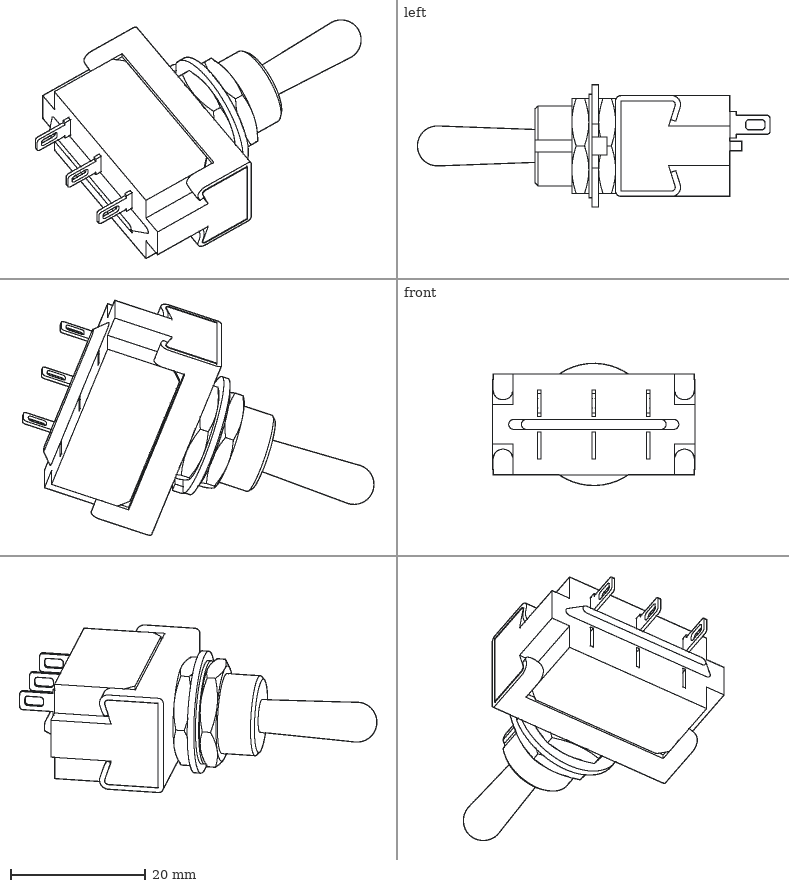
import cadquery as cq
import math


base_width = 30.2
base_height = 15.0
base_rear_y = -17.0
block_width = 24.05
block_front_y = -5.1
block_chamfer = 1.4
flange_half_height = 2.95

frame_width = 30.0
sheet = 0.8
window_front_y = -4.8
leg_width = (frame_width - block_width) / 2
leg_center_x = (frame_width + block_width) / 4
bend_outer_radius = 1.35
bend_inner_radius = bend_outer_radius - sheet
bend_start_y = -8.3
claw_lean = 17.5
full_turn = 90 + claw_lean
claw_length = 2.15

bushing_radius = 6.0
bushing_length = 12.0
bushing_chamfer = 0.5
keyway_width = 1.8
keyway_depth = 0.65

tip_y = 29.5
lever_tip_radius = 3.0
lever_root_radius = 2.45

nut_across_flats = 14.2
nut_thickness = 2.5
nut_chamfer_angle = 30.0
tab_washer_radius = 18.2 / 2
tab_washer_thickness = 1.0
tab_washer_flat_x = -8.5
tab_width = 2.75
tab_outer_x = -9.65
tab_length = 2.25
tab_bend_radius = 0.9
plain_washer_radius = 7.7
plain_washer_thickness = 0.45
tab_washer_y = nut_thickness
plain_washer_y = tab_washer_y + tab_washer_thickness
upper_nut_y = plain_washer_y + plain_washer_thickness

rib_root_length = 25.3
rib_crest_length = 21.5
rib_height = 1.8
rib_thickness = 1.45

terminal_pitch = 8.1
terminal_thickness = 0.5
terminal_z = 3.15
terminal_rear_y = -23.0
shoulder_width = 4.0
shoulder_length = 0.95
tongue_width = 2.9
tongue_corner_radius = 0.5
eyelet_length = 2.85
eyelet_width = 1.45
eyelet_corner_radius = 0.45
eyelet_y = -20.8
slot_depth = 2.0

terminal_xs = [-terminal_pitch, 0, terminal_pitch]


def box_between(x_range, y_range, z_range):
    """Box spanning the given (low, high) ranges."""
    sizes = [high - low for low, high in (x_range, y_range, z_range)]
    corner = (x_range[0], y_range[0], z_range[0])
    return cq.Workplane("XY").box(*sizes, centered=False).translate(corner)


def disc(radius, start_y, thickness):
    """Round plate around the Y axis, growing towards +Y."""
    return cq.Workplane("XZ", origin=(0, start_y, 0)).circle(radius).extrude(-thickness)


def prism_along_x(outline, width):
    """Extrude a YZ wire sketch symmetrically along X."""
    return outline.extrude(width / 2, both=True)


def bend_point(radius, turn):
    """(y, z) on the upper leg's bend, after turning by `turn` degrees from the flat leg."""
    center_z = base_height / 2 - bend_outer_radius
    angle = math.radians(turn)
    return (bend_start_y - radius * math.sin(angle), center_z + radius * math.cos(angle))


def mirrored(point):
    """(y, z) point reflected across the middle plane Z = 0."""
    return (point[0], -point[1])


def flange_outline():
    """Outline of the base flanges: it fills the frame between the plate, legs and claws."""
    inner_z = base_height / 2 - sheet
    arc_start = (bend_start_y, inner_z)
    arc_mid = bend_point(bend_inner_radius, full_turn / 2)
    arc_end = bend_point(bend_inner_radius, full_turn)
    lean_run = (arc_end[1] - flange_half_height) * math.tan(math.radians(claw_lean))
    notch = (arc_end[0] + lean_run, flange_half_height)
    return (
        cq.Workplane("YZ")
        .moveTo(-sheet, inner_z)
        .lineTo(*arc_start)
        .threePointArc(arc_mid, arc_end)
        .lineTo(*notch)
        .lineTo(base_rear_y, flange_half_height)
        .lineTo(base_rear_y, -flange_half_height)
        .lineTo(*mirrored(notch))
        .lineTo(*mirrored(arc_end))
        .threePointArc(mirrored(arc_mid), mirrored(arc_start))
        .lineTo(-sheet, -inner_z)
        .close()
    )


def make_rib():
    """Rib with sloping, rounded ends on the rear face of the base."""
    return (
        cq.Workplane("XZ", origin=(0, base_rear_y, 0))
        .slot2D(rib_root_length, rib_thickness)
        .workplane(offset=rib_height)
        .slot2D(rib_crest_length, rib_thickness)
        .loft(ruled=True)
    )


def make_base():
    flanges = prism_along_x(flange_outline(), base_width)
    block = box_between(
        (-block_width / 2, block_width / 2),
        (base_rear_y, block_front_y),
        (-base_height / 2, base_height / 2),
    )
    block = block.faces(">Y").edges("|Z").chamfer(block_chamfer)
    base = flanges.union(block).union(make_rib())
    slot_z = shoulder_width / 2
    for x in terminal_xs:
        for row_z in (terminal_z, -terminal_z):
            base = base.cut(
                box_between(
                    (x - terminal_thickness / 2, x + terminal_thickness / 2),
                    (base_rear_y, base_rear_y + slot_depth),
                    (row_z - slot_z, row_z + slot_z),
                )
            )
    return base


def make_claw():
    """Round-tipped claw leaning inwards from the bend of the upper right leg."""
    root_y, root_z = bend_point(bend_outer_radius, full_turn)
    lean = math.radians(claw_lean)
    claw_plane = cq.Plane(
        origin=(leg_center_x, root_y, root_z),
        xDir=(1, 0, 0),
        normal=(0, math.cos(lean), math.sin(lean)),
    )
    half = leg_width / 2
    straight = claw_length - half
    return (
        cq.Workplane(claw_plane)
        .moveTo(-half, 0)
        .lineTo(-half, straight)
        .threePointArc((0, claw_length), (half, straight))
        .lineTo(half, 0)
        .close()
        .extrude(sheet)
    )


def make_leg_bend():
    """Bend joining the upper right leg to its claw."""
    bend = (
        cq.Workplane("YZ")
        .moveTo(*bend_point(bend_outer_radius, 0))
        .threePointArc(
            bend_point(bend_outer_radius, full_turn / 2),
            bend_point(bend_outer_radius, full_turn),
        )
        .lineTo(*bend_point(bend_inner_radius, full_turn))
        .threePointArc(
            bend_point(bend_inner_radius, full_turn / 2),
            bend_point(bend_inner_radius, 0),
        )
        .close()
    )
    return prism_along_x(bend, leg_width).translate((leg_center_x, 0, 0))


def make_bushing():
    bushing = disc(bushing_radius, 0, bushing_length).faces(">Y").chamfer(bushing_chamfer)
    keyway = box_between(
        (-bushing_radius, -bushing_radius + keyway_depth),
        (0, bushing_length),
        (-keyway_width / 2, keyway_width / 2),
    )
    return bushing.cut(keyway)


def make_frame():
    """U-shaped sheet with four claws, carrying the bushing on its plate."""
    half_width = frame_width / 2
    half_height = base_height / 2
    frame = box_between(
        (-half_width, half_width), (bend_start_y, 0), (-half_height, half_height)
    )
    frame = frame.faces(">Y").edges("|X").fillet(sheet)
    inside = box_between(
        (-half_width, half_width),
        (bend_start_y, -sheet),
        (-half_height + sheet, half_height - sheet),
    )
    window = box_between(
        (-block_width / 2, block_width / 2),
        (bend_start_y, window_front_y),
        (-half_height, half_height),
    )
    frame = frame.cut(inside).cut(window)
    right_upper = make_leg_bend().union(make_claw())
    upper_pair = right_upper.union(right_upper.mirror("YZ"))
    return frame.union(upper_pair).union(upper_pair.mirror("XY")).union(make_bushing())


def make_lever():
    """Tapered lever with a hemispherical tip, standing on the end of the bushing."""
    tip_center_y = tip_y - lever_tip_radius
    diagonal = lever_tip_radius * math.sqrt(0.5)
    return (
        cq.Workplane("YZ")
        .moveTo(bushing_length, 0)
        .lineTo(bushing_length, lever_root_radius)
        .lineTo(tip_center_y, lever_tip_radius)
        .threePointArc((tip_center_y + diagonal, diagonal), (tip_y, 0))
        .close()
        .revolve(360, (0, 0), (1, 0))
    )


def make_nut(start_y):
    """Hexagon nut, chamfered on both faces, with corners at +X and -X."""
    corner_radius = nut_across_flats / math.sqrt(3)
    face_radius = nut_across_flats / 2
    chamfer_height = (corner_radius - face_radius) * math.tan(math.radians(nut_chamfer_angle))
    end_y = start_y + nut_thickness
    hexagon = (
        cq.Workplane("XZ", origin=(0, start_y, 0))
        .polygon(6, 2 * corner_radius)
        .extrude(-nut_thickness)
    )
    chamfer_envelope = (
        cq.Workplane("XY")
        .polyline(
            [
                (bushing_radius, start_y),
                (face_radius, start_y),
                (corner_radius, start_y + chamfer_height),
                (corner_radius, end_y - chamfer_height),
                (face_radius, end_y),
                (bushing_radius, end_y),
            ]
        )
        .close()
        .revolve(360, (0, 0), (0, 1))
    )
    return hexagon.intersect(chamfer_envelope)


def make_tab_washer():
    """Washer with a flat on its -X side, from which a tab is bent towards the frame."""
    top_y = tab_washer_y + tab_washer_thickness
    washer = disc(tab_washer_radius, tab_washer_y, tab_washer_thickness)
    flat_cut = box_between(
        (-tab_washer_radius, tab_washer_flat_x),
        (tab_washer_y, top_y),
        (-tab_washer_radius, tab_washer_radius),
    )
    tab = box_between(
        (tab_outer_x, tab_washer_flat_x),
        (top_y - tab_length, top_y),
        (-tab_width / 2, tab_width / 2),
    )
    tab = tab.faces("<X").edges(">Y").fillet(tab_bend_radius)
    bore = disc(bushing_radius, tab_washer_y, tab_washer_thickness)
    return washer.cut(flat_cut).union(tab).cut(bore)


def make_plain_washer():
    bore = disc(bushing_radius, plain_washer_y, plain_washer_thickness)
    return disc(plain_washer_radius, plain_washer_y, plain_washer_thickness).cut(bore)


def make_terminal(x):
    """Flat terminal filling an upper slot, with a shoulder and an eyed tongue."""
    thickness_range = (x - terminal_thickness / 2, x + terminal_thickness / 2)
    shoulder_rear_y = base_rear_y - shoulder_length
    shoulder = box_between(
        thickness_range,
        (shoulder_rear_y, base_rear_y + slot_depth),
        (terminal_z - shoulder_width / 2, terminal_z + shoulder_width / 2),
    )
    tongue = box_between(
        thickness_range,
        (terminal_rear_y, shoulder_rear_y),
        (terminal_z - tongue_width / 2, terminal_z + tongue_width / 2),
    )
    tongue = tongue.faces("<Y").edges("|X").fillet(tongue_corner_radius)
    eyelet = box_between(
        thickness_range,
        (eyelet_y - eyelet_length / 2, eyelet_y + eyelet_length / 2),
        (terminal_z - eyelet_width / 2, terminal_z + eyelet_width / 2),
    )
    eyelet = eyelet.edges("|X").fillet(eyelet_corner_radius)
    return shoulder.union(tongue).cut(eyelet)


base = make_base()
frame = make_frame()
lever = make_lever()
tab_washer = make_tab_washer()
plain_washer = make_plain_washer()
nuts = [make_nut(start_y) for start_y in (0, upper_nut_y)]
terminals = [make_terminal(x) for x in terminal_xs]

result = cq.Compound.makeCompound(
    [
        base.val(),
        frame.val(),
        lever.val(),
        tab_washer.val(),
        plain_washer.val(),
        *[nut.val() for nut in nuts],
        *[terminal.val() for terminal in terminals],
    ]
)